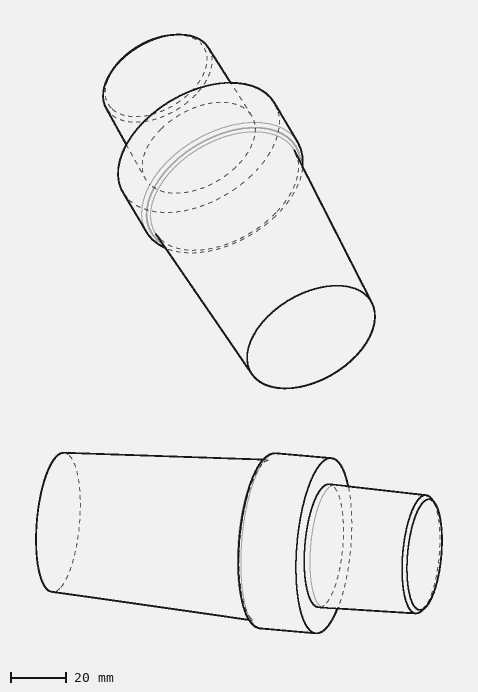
import cadquery as cq

total_length = 138.0
front_x = -total_length / 2
back_x = total_length / 2
spigot_length = 38.0
collar_front_x = front_x + spigot_length
collar_length = 22.1
collar_back_x = collar_front_x + collar_length

tip_chamfer = 1.4
spigot_tip_radius = 21.3
neck_radius = 22.1
neck_length = 2.1

collar_radius = 31.5
collar_fillet = 1.2
shank_base_radius = 29.0
shank_end_radius = 25.0
root_fillet = 1.0

tolerance = 0.01


def make_body():
    """Revolve the stepped half profile around the X axis."""
    profile = (
        cq.Workplane("XZ")
        .moveTo(front_x, 0)
        .lineTo(front_x, spigot_tip_radius - tip_chamfer)
        .lineTo(front_x + tip_chamfer, spigot_tip_radius)
        .lineTo(collar_front_x - neck_length, neck_radius)
        .lineTo(collar_front_x, neck_radius)
        .lineTo(collar_front_x, collar_radius)
        .lineTo(collar_back_x, collar_radius)
        .lineTo(collar_back_x, shank_base_radius)
        .lineTo(back_x, shank_end_radius)
        .lineTo(back_x, 0)
        .close()
    )
    return profile.revolve(360, (0, 0, 0), (1, 0, 0))


def fillet_ring(body, plane_x, radius, fillet_radius):
    """Fillet the circular edge of the given radius lying at plane_x."""
    rings = [
        edge
        for edge in body.edges("%CIRCLE").vals()
        if abs(edge.Center().x - plane_x) < tolerance and abs(edge.radius() - radius) < tolerance
    ]
    return body.newObject(rings).fillet(fillet_radius)


result = make_body()
result = fillet_ring(result, collar_back_x, collar_radius, collar_fillet)
result = fillet_ring(result, collar_back_x, shank_base_radius, root_fillet)